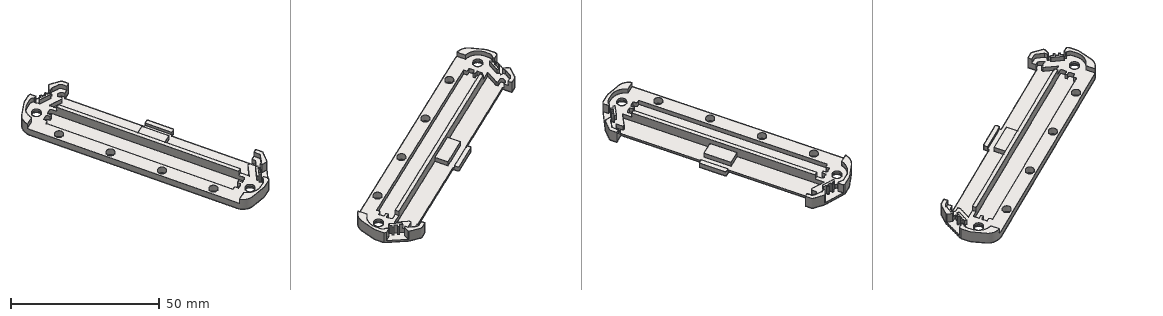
import cadquery as cq
import math

total_height = 5.0
deck_height = 3.0
floor_height = 1.0

half_length = 44.8
back_edge = 19.35
tip_edge = 22.8
hook_inner_x = 34.85
wall_end_x = 39.5
side_foot = (-43.1, 3.2)
hook_corner = (-40.6, 19.5)

minus_x_corner_start = (-38.4, 0)
minus_x_corner_arcs = [
    ((-39.6, 0.2), (-40.6, 0.58)),
    ((-42.1, 1.6), side_foot),
]
plus_x_corner_start = (-39.2, 0)
plus_x_corner_arcs = [((-41.75, 1.2), side_foot)]

rib_front = 11.3
rib_back = 12.6
rib_half_length = 34.0
slot_front = 4.8
slot_half_length = 36.3
slot_neck_half_length = hook_inner_x
key_front = 8.2
key_back = 9.1
slot_step_y = 6.2
slot_corner_radius = 0.45

pocket_front = 17.65
pocket_back = 19.8
pocket_back_corner_x = 36.2
pocket_tip_x = 37.45
pocket_corner_radius = 0.7

latch_half_width = 5.0
block_back = 17.5
tab_front = 19.9
tab_back = 21.5
tab_height = 2.15
tab_corner_radius = 0.45

row_hole_diameter = 3.05
row_hole_pitch = 19.2
row_hole_count = 4
row_hole_y = 2.3
end_hole_diameter = 3.4
end_hole_x = 39.8
end_hole_y = 7.8
end_counterbore_diameter = 5.4
end_counterbore_depth = 2.0

bar_start = (-38.7, 16.3)
bar_angle = math.radians(239)
bar_length = 4.4
bar_thickness = 0.8
bar_end_slant = 0.4
recess_overrun = 0.8
tooth_width = 0.6
tooth_height = 0.8
tooth_starts = (1.2, 3.05)


def extrude_between(sketch, bottom, top):
    return sketch.extrude(top - bottom).translate((0, 0, bottom))


def upper_prism(outline):
    """Straight-sided prism from the recess floor level to the top of the part."""
    return extrude_between(cq.Workplane("XY").polyline(outline).close(), floor_height, total_height)


def box_between(x_half, y_front, y_back, bottom, top):
    sketch = cq.Workplane("XY").center(0, (y_front + y_back) / 2).rect(2 * x_half, y_back - y_front)
    return extrude_between(sketch, bottom, top)


def round_corners(solid, corners, radius):
    """Fillet the upright edges standing at the given corners."""
    middle = (floor_height + deck_height) / 2
    for x, y in corners:
        edge = cq.selectors.NearestToPointSelector((x, y, middle))
        solid = solid.edges("|Z").edges(edge).fillet(radius)
    return solid


def outline_half(corner_start, corner_arcs):
    """-X half of the outer outline, closed along the middle plane."""
    sketch = cq.Workplane("XY").moveTo(0, 0).lineTo(*corner_start)
    for middle, end in corner_arcs:
        sketch = sketch.threePointArc(middle, end)
    return (
        sketch
        .lineTo(-44.5, 7.8)
        .threePointArc((-44.7, 8.4), (-half_length, 9.1))
        .lineTo(-half_length, 12.1)
        .lineTo(*hook_corner)
        .lineTo(-37.8, 22.4)
        .threePointArc((-37.45, 22.7), (-37.0, tip_edge))
        .lineTo(-hook_inner_x, tip_edge)
        .lineTo(-hook_inner_x, back_edge)
        .lineTo(0, back_edge)
        .close()
    )


def deck_interior():
    """Area inside the raised end wall and hook, where the deck stays low."""
    wall_inner_x = -43.55
    wall_arc_y = 8.6
    wall_front_y = 3.4
    hook_inner_y = 21.3
    beyond_front = -0.9
    sketch = (
        cq.Workplane("XY")
        .moveTo(0, beyond_front)
        .lineTo(-wall_end_x, beyond_front)
        .lineTo(-wall_end_x, wall_front_y)
        .threePointArc((-42.1, 4.9), (wall_inner_x, wall_arc_y))
        .lineTo(wall_inner_x, 10.4)
        .threePointArc((-43.3, 11.2), (-42.6, 11.9))
        .lineTo(-39.1, 17.3)
        .lineTo(-39.1, 18.5)
        .lineTo(-37.7, 20.5)
        .threePointArc((-37.4, 21.1), (-36.7, hook_inner_y))
        .lineTo(0, hook_inner_y)
        .close()
    )
    return extrude_between(sketch, deck_height, total_height)


def spring_recess():
    """Opening through the end wall outside the spring bar."""
    outline = [
        hook_corner, (-40.6, 19.1), (-40.3, 18.55), (-39.7, 17.4), (-38.5, 17.4),
        bar_point(-recess_overrun, 0), bar_point(bar_length, 0),
        (-41.0, 12.1), (-41.7, 11.65), (-42.4, 11.9),
        (-42.4, 12.8), (-half_length, 12.8), (-half_length, hook_corner[1]),
    ]
    return upper_prism(outline)


def bar_point(along, outward):
    """Point beside the spring bar, from distances along and out of its outer face."""
    return (
        bar_start[0] + along * math.cos(bar_angle) + outward * math.sin(bar_angle),
        bar_start[1] + along * math.sin(bar_angle) - outward * math.cos(bar_angle),
    )


def spring_bar():
    """Bar standing on the recess edge, with its teeth facing outward."""
    outline = [bar_point(0, 0)]
    for start in tooth_starts:
        end = start + tooth_width
        outline += [
            bar_point(start, 0), bar_point(start, tooth_height),
            bar_point(end, tooth_height), bar_point(end, 0),
        ]
    outline += [
        bar_point(bar_length, 0),
        bar_point(bar_length + bar_end_slant, -bar_thickness),
        bar_point(bar_end_slant / 2, -bar_thickness),
    ]
    return upper_prism(outline)


def rear_recess_half():
    outline = [
        (0, rib_back), (-37.3, rib_back), (-34.7, 17.0), (-hook_inner_x, pocket_front),
        (-pocket_tip_x, pocket_front), (-pocket_back_corner_x, pocket_back), (0, pocket_back),
    ]
    return upper_prism(outline)


def slot_half():
    outline = [
        (0, rib_front), (-slot_half_length, rib_front),
        (-slot_half_length, key_back), (-slot_neck_half_length, key_back),
        (-slot_neck_half_length, key_front), (-slot_half_length, key_front),
        (-slot_half_length, slot_step_y), (-slot_neck_half_length, slot_step_y),
        (-slot_neck_half_length, slot_front), (0, slot_front),
    ]
    slot = upper_prism(outline)
    rounded_corners = [
        (-slot_half_length, rib_front), (-slot_half_length, key_front),
        (-slot_neck_half_length, slot_step_y),
    ]
    return round_corners(slot, rounded_corners, slot_corner_radius)


def latch():
    block = box_between(latch_half_width, rib_back, block_back, floor_height, deck_height)
    neck = box_between(latch_half_width, block_back, tab_front, 0, floor_height)
    tab = box_between(latch_half_width, tab_front, tab_back, 0, tab_height)
    tab = tab.edges("|Z and >Y").fillet(tab_corner_radius)
    return block.union(neck).union(tab)


def end_half(corner_start, corner_arcs):
    """-X half of the plate with its wall, hook, recesses and spring bar."""
    half = extrude_between(outline_half(corner_start, corner_arcs), 0, total_height)
    half = half.cut(deck_interior()).cut(rear_recess_half()).cut(slot_half())
    return half.cut(spring_recess()).union(spring_bar())


minus_x_half = end_half(minus_x_corner_start, minus_x_corner_arcs)
plus_x_half = end_half(plus_x_corner_start, plus_x_corner_arcs).mirror("YZ")
body = minus_x_half.union(plus_x_half)
pocket_corners = [(-pocket_tip_x, pocket_front), (-pocket_back_corner_x, pocket_back)]
body = round_corners(body, pocket_corners, pocket_corner_radius)

body = body.union(box_between(rib_half_length, rib_front, rib_back, floor_height, total_height))
body = body.union(latch())

row_holes = (
    cq.Workplane("XY")
    .center(0, row_hole_y)
    .rarray(row_hole_pitch, 0.9, row_hole_count, 1)
    .circle(row_hole_diameter / 2)
    .extrude(total_height)
)
end_places = cq.Workplane("XY").pushPoints([(-end_hole_x, end_hole_y), (end_hole_x, end_hole_y)])
end_holes = end_places.circle(end_hole_diameter / 2).extrude(total_height)
end_counterbores = end_places.circle(end_counterbore_diameter / 2).extrude(end_counterbore_depth)
result = body.cut(row_holes).cut(end_holes).cut(end_counterbores)